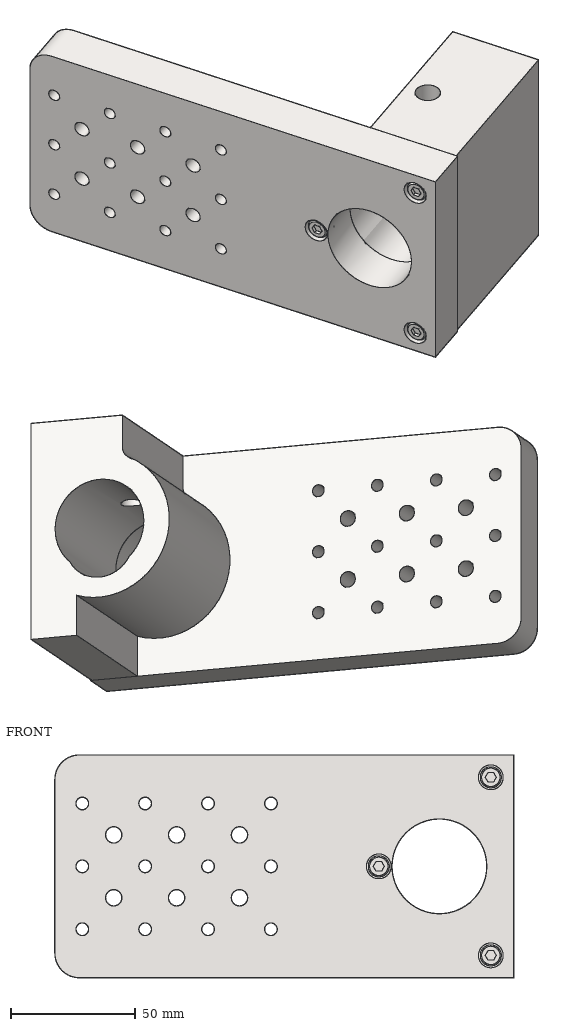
import cadquery as cq
import math

PLATE_LENGTH = 185.0
PLATE_HEIGHT = 90.0
PLATE_THICKNESS = 19.0
PLATE_CORNER_RADIUS = 10.0

HOLE_PITCH = 25.3
FIRST_HOLE_X = 11.1
SMALL_HOLE_DIAMETER = 5.0
LARGE_HOLE_DIAMETER = 6.5
SMALL_HOLE_COLUMNS = 4
SMALL_HOLE_ROWS = 3

BORE_X = 155.0
BORE_RADIUS = 19.0
SEAT_RADIUS = 14.6
SEAT_DROP = 7.0

BLOCK_BACK_Y = 90.0
BLOCK_RIGHT_X = 184.5
BARREL_RADIUS = 30.0
WALL_OFFSET = 9.8
BLEND_RADIUS = 5.0
SET_SCREW_HOLE_DIAMETER = 10.2
SET_SCREW_HOLE_Y = 50.0

BARREL_SCREW_X = 130.6
CORNER_SCREW_X = 175.8
CORNER_SCREW_Z = 35.9
COUNTERBORE_DIAMETER = 10.0
HEAD_DIAMETER = 8.5
HEAD_HEIGHT = 5.0
HEAD_RECESS = 0.7
HEAD_CHAMFER = 0.5
SHANK_DIAMETER = 5.0
SHANK_LENGTH = 25.0
SOCKET_ACROSS_FLATS = 3.9
SOCKET_DEPTH = 1.5

SCREW_POSITIONS = [
    (BARREL_SCREW_X, 0.0),
    (CORNER_SCREW_X, CORNER_SCREW_Z),
    (CORNER_SCREW_X, -CORNER_SCREW_Z),
]
HEAD_SEAT_Y = HEAD_RECESS + HEAD_HEIGHT
SCREW_TIP_Y = HEAD_SEAT_Y + SHANK_LENGTH


def section(start_y):
    """Workplane at the given Y whose local axes are X and Z; positive extrusion runs toward -Y."""
    return cq.Workplane("XZ", origin=(0, start_y, 0))


def rod(points, diameter, start_y, end_y):
    """Round rods along Y at the given (x, z) points."""
    return section(start_y).pushPoints(points).circle(diameter / 2).extrude(start_y - end_y)


def hole_grid(first_x, columns, rows):
    """Points of a rectangular grid that is centred on Z = 0."""
    bottom_z = -(rows - 1) / 2 * HOLE_PITCH
    return [
        (first_x + column * HOLE_PITCH, bottom_z + row * HOLE_PITCH)
        for column in range(columns)
        for row in range(rows)
    ]


def make_plate():
    plate = (
        cq.Workplane("XY")
        .box(PLATE_LENGTH, PLATE_THICKNESS, PLATE_HEIGHT, centered=(False, False, True))
        .edges("|Y and <X")
        .fillet(PLATE_CORNER_RADIUS)
    )
    small_points = hole_grid(FIRST_HOLE_X, SMALL_HOLE_COLUMNS, SMALL_HOLE_ROWS)
    large_points = hole_grid(FIRST_HOLE_X + HOLE_PITCH / 2, SMALL_HOLE_COLUMNS - 1, SMALL_HOLE_ROWS - 1)
    plate = plate.cut(rod(small_points, SMALL_HOLE_DIAMETER, 0, PLATE_THICKNESS))
    plate = plate.cut(rod(large_points, LARGE_HOLE_DIAMETER, 0, PLATE_THICKNESS))
    plate = plate.cut(rod([(BORE_X, 0)], 2 * BORE_RADIUS, 0, PLATE_THICKNESS))
    plate = plate.cut(rod(SCREW_POSITIONS, COUNTERBORE_DIAMETER, 0, HEAD_SEAT_Y))
    return plate.cut(rod(SCREW_POSITIONS, SHANK_DIAMETER, HEAD_SEAT_Y, PLATE_THICKNESS))


def block_profile():
    """Round barrel with an upper and a lower straight flange; a concave arc blends the upper one."""
    flange_z = PLATE_HEIGHT / 2
    upper_wall_x = BORE_X - WALL_OFFSET
    lower_wall_x = BORE_X + WALL_OFFSET
    lower_wall_end_z = -math.sqrt(BARREL_RADIUS**2 - WALL_OFFSET**2)

    blend_x = upper_wall_x - BLEND_RADIUS
    blend_z = math.sqrt((BARREL_RADIUS + BLEND_RADIUS) ** 2 - (BORE_X - blend_x) ** 2)
    barrel_angle = math.atan2(-blend_z, BORE_X - blend_x)

    def blend_point(angle):
        return (blend_x + BLEND_RADIUS * math.cos(angle), blend_z + BLEND_RADIUS * math.sin(angle))

    return (
        section(BLOCK_BACK_Y)
        .moveTo(BLOCK_RIGHT_X, flange_z)
        .lineTo(upper_wall_x, flange_z)
        .lineTo(*blend_point(0))
        .threePointArc(blend_point(barrel_angle / 2), blend_point(barrel_angle))
        .threePointArc((BORE_X - BARREL_RADIUS, 0), (lower_wall_x, lower_wall_end_z))
        .lineTo(lower_wall_x, -flange_z)
        .lineTo(BLOCK_RIGHT_X, -flange_z)
        .close()
    )


def make_clamp_block():
    block = block_profile().extrude(BLOCK_BACK_Y - PLATE_THICKNESS)
    block = block.cut(rod([(BORE_X, 0)], 2 * BORE_RADIUS, PLATE_THICKNESS, BLOCK_BACK_Y))
    block = block.cut(rod([(BORE_X, -SEAT_DROP)], 2 * SEAT_RADIUS, PLATE_THICKNESS, BLOCK_BACK_Y))
    set_screw_hole = (
        cq.Workplane("XY", origin=(BORE_X, SET_SCREW_HOLE_Y, 0))
        .circle(SET_SCREW_HOLE_DIAMETER / 2)
        .extrude(PLATE_HEIGHT / 2)
    )
    block = block.cut(set_screw_hole)
    return block.cut(rod(SCREW_POSITIONS, SHANK_DIAMETER, PLATE_THICKNESS, SCREW_TIP_Y))


def make_screw(x, z):
    point = [(x, z)]
    head = rod(point, HEAD_DIAMETER, HEAD_RECESS, HEAD_SEAT_Y).faces("<Y").chamfer(HEAD_CHAMFER)
    shank = rod(point, SHANK_DIAMETER, HEAD_SEAT_Y, SCREW_TIP_Y)
    socket = (
        cq.Workplane("XZ", origin=(x, HEAD_RECESS, z))
        .polygon(6, SOCKET_ACROSS_FLATS, circumscribed=True)
        .extrude(-SOCKET_DEPTH)
        .rotate((x, 0, z), (x, 1, z), 30)
    )
    return head.union(shank).cut(socket)


plate = make_plate()
clamp_block = make_clamp_block()
screws = [make_screw(x, z) for x, z in SCREW_POSITIONS]

result = cq.Compound.makeCompound([plate.val(), clamp_block.val(), *[screw.val() for screw in screws]])